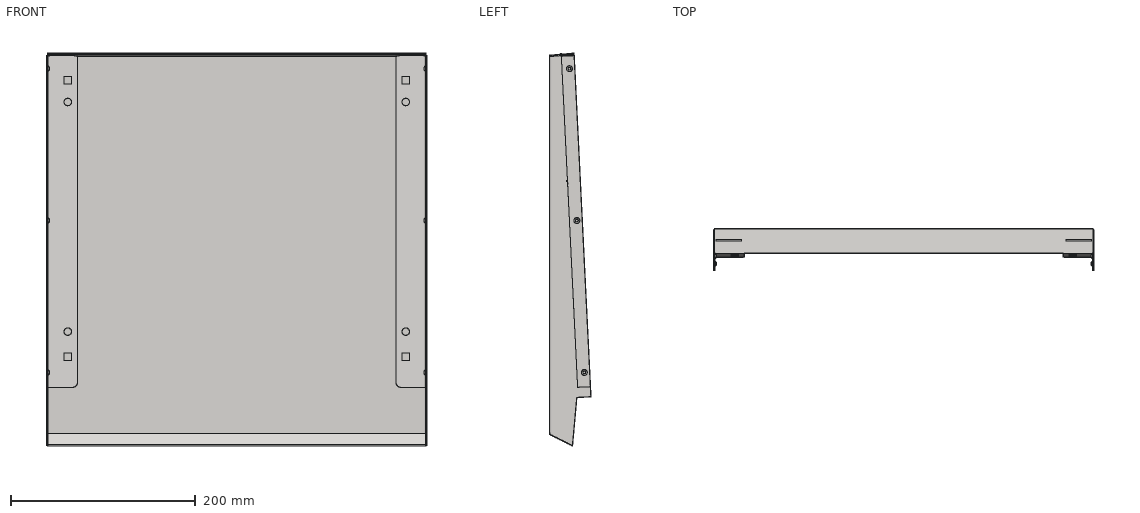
import cadquery as cq
import math

width = 412.0
height = 425.5
depth = 45.0
sheet = 1.5
panel_bend = 1.05

flange_depth = 27.0
flange_fall = 2.35
lip_depth = 25.0
lip_drop = 12.55
flange_inset = 1.0
lip_reveal = 0.5
tab_height = 11.0
tab_root_depth = 29.8

bracket_top = 2.5
bracket_end = 361.5
front_leg_back = 15.1
side_leg = 14.0
bracket_width = 32.0
bracket_bend = 1.5
corner_radius = 5.0
tongue_width = 27.2
tongue_inset = 1.3

hole_size = 8.0
hole_inset = 23.0
square_drops = (29.0, 328.5)
round_drops = (52.5, 301.0)

dimple_mouth = 6.5
dimple_floor = 3.0
dimple_depth = 1.5
dimple_setback = 6.0
dimple_drop = 16.5
dimple_pitch = 164.5
dimple_count = 3

tab_end = bracket_end + tab_height
lean = math.asin((depth - flange_depth) / tab_end)


def leaning(back, down):
    """Global (Y, Z) of a point given in the leaning frame."""
    return (
        -flange_depth + back * math.cos(lean) - down * math.sin(lean),
        height - back * math.sin(lean) - down * math.cos(lean),
    )


def lean_body(body):
    """Move a body built upright, with its front top edge on the X axis, into the leaning frame."""
    tilted = body.rotate((0, 0, 0), (1, 0, 0), -math.degrees(lean))
    return tilted.translate((0, -flange_depth, height))


def across(points, span):
    """Extrude a (Y, Z) outline over a span centred on X = 0."""
    return cq.Workplane("YZ").polyline(points).close().extrude(span / 2, both=True)


def block(x_ends, y_ends, z_ends):
    """Box between two limits along each axis."""
    limits = (x_ends, y_ends, z_ends)
    sizes = [abs(end - start) for start, end in limits]
    middle = tuple((start + end) / 2 for start, end in limits)
    return cq.Workplane("XY").box(*sizes).translate(middle)


flange_rise = sheet * math.hypot(flange_depth, flange_fall) / flange_depth
lip_rise = sheet * math.hypot(lip_depth, lip_drop) / lip_depth


def folded_channel():
    """Back plate and both side walls, before the walls are trimmed."""
    half_outer = width / 2
    half_inner = half_outer - sheet
    outer = block((-half_outer, half_outer), (-depth, 0), (0, height))
    outer = outer.edges(">Y and |Z").fillet(panel_bend + sheet)
    inner = block((-half_inner, half_inner), (-depth, -sheet), (0, height))
    return outer.cut(inner.edges(">Y and |Z").fillet(panel_bend))


def side_outline():
    """Side wall outline, cut back along the bracket's side leg and with the tab left below it."""
    flange_slope = flange_fall / flange_depth
    seam_top = leaning(side_leg, bracket_top)
    underside = height - flange_rise - (seam_top[0] + flange_depth) * flange_slope
    return [
        (0, height - flange_fall - flange_rise),
        (seam_top[0], underside),
        seam_top,
        leaning(side_leg, bracket_end),
        leaning(0, bracket_end),
        leaning(0, tab_end),
        (-tab_root_depth, leaning(0, tab_end)[1] - (depth - tab_root_depth) * math.tan(lean)),
        (-lip_depth, lip_reveal),
        (0, lip_drop + lip_reveal),
    ]


def top_flange():
    back = height - flange_fall
    front_underside = height - flange_rise
    outline = [(0, back), (-flange_depth, height), (-flange_depth, front_underside), (0, back - flange_rise)]
    return across(outline, width - 2 * flange_inset)


def bottom_lip():
    outline = [(0, lip_drop), (-lip_depth, 0), (-lip_depth, lip_rise), (0, lip_drop + lip_rise)]
    return across(outline, width - 2 * flange_inset)


def tongue(side):
    """Upper end of the front leg, which fills a slot in the top flange."""
    near = side * (width / 2 - sheet - tongue_inset)
    far = near - side * tongue_width
    bar = block((near, far), (front_leg_back - sheet, front_leg_back), (-bracket_top, 0))
    return lean_body(bar)


def make_panel():
    panel = folded_channel().intersect(across(side_outline(), width))
    panel = panel.union(top_flange()).union(bottom_lip())
    for side in (-1, 1):
        panel = panel.cut(tongue(side))
    return panel


def angle_section(side):
    """Side leg flush with the side wall, and front leg tucked in behind the wall's edge."""
    outer = side * width / 2
    inner = outer - side * sheet
    free_edge = inner - side * bracket_width
    z_ends = (-bracket_end, -bracket_top)
    front_face = front_leg_back - sheet
    front_leg = block((inner, free_edge), (front_face, front_leg_back), z_ends)
    free_corner = front_leg.edges("|Y and <Z").edges("<X" if side > 0 else ">X")
    front_leg = free_corner.fillet(corner_radius)
    angle = front_leg.union(block((outer, inner), (0, side_leg), z_ends))
    bend = cq.selectors.NearestToPointSelector((inner, front_face, -bracket_end / 2))
    return angle.edges("|Z").edges(bend).fillet(bracket_bend)


def front_leg_holes(side):
    hole_x = side * (width / 2 - hole_inset)
    face = cq.Workplane("XZ", origin=(0, front_leg_back, 0))
    squares = face.pushPoints([(hole_x, -drop) for drop in square_drops]).rect(hole_size, hole_size)
    squares = squares.extrude(sheet)
    rounds = face.pushPoints([(hole_x, -drop) for drop in round_drops]).circle(hole_size / 2)
    rounds = rounds.extrude(sheet)
    return squares.union(rounds)


def dimple_cone(side, start, drop):
    """Tapered plug pointing inwards, starting at a distance inside the outer face."""
    base = cq.Vector(side * (width / 2 - start), dimple_setback, -drop)
    inwards = cq.Vector(-side, 0, 0)
    cone = cq.Solid.makeCone(dimple_mouth / 2, dimple_floor / 2, dimple_depth, base, inwards)
    return cq.Workplane(cone)


def make_bracket(side):
    bracket = angle_section(side).cut(front_leg_holes(side))
    for i in range(dimple_count):
        drop = dimple_drop + i * dimple_pitch
        bracket = bracket.union(dimple_cone(side, sheet, drop)).cut(dimple_cone(side, 0, drop))
    return lean_body(bracket).union(tongue(side))


panel = make_panel()
brackets = [make_bracket(side) for side in (-1, 1)]

result = cq.Compound.makeCompound([panel.val(), *[bracket.val() for bracket in brackets]])